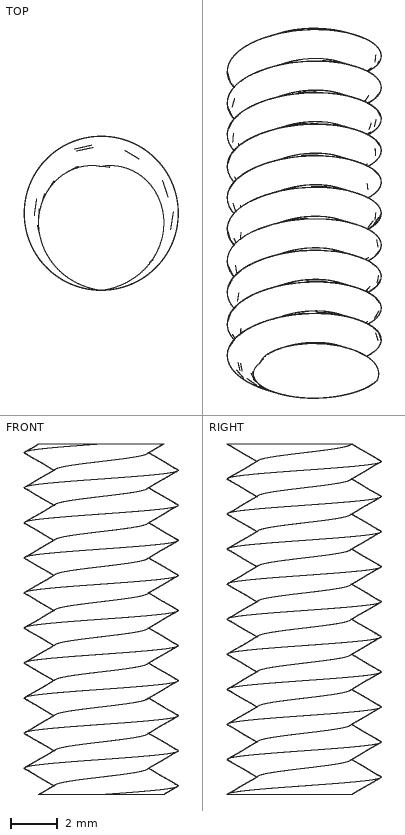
import cadquery as cq
import math

length = 15.0
pitch = 1.5
crest_radius = 3.3
flank_half_angle = 30.0
curve_spans = 24

turns = length / pitch
thread_depth = pitch / 2 / math.tan(math.radians(flank_half_angle))
root_radius = crest_radius - thread_depth

crest_direction = -math.pi / 2


def flank_point(offset):
    """Point of the cross-section at an angular offset from the crest, from -pi to pi."""
    radius = crest_radius - thread_depth * abs(offset) / math.pi
    angle = crest_direction + offset
    return (radius * math.cos(angle), radius * math.sin(angle))


def flank_curve(start, end):
    """Smooth edge through the cross-section points between two angular offsets."""
    step = (end - start) / curve_spans
    points = [cq.Vector(*flank_point(start + step * i)) for i in range(curve_spans + 1)]
    return cq.Edge.makeSpline(points)


cross_section = cq.Wire.assembleEdges([flank_curve(-math.pi, 0), flank_curve(0, math.pi)])

thread = cq.Solid.extrudeLinearWithRotation(
    cross_section, [], cq.Vector(0, 0, 0), cq.Vector(0, 0, length), 360.0 * turns
)
result = cq.Workplane("XY").newObject([thread])